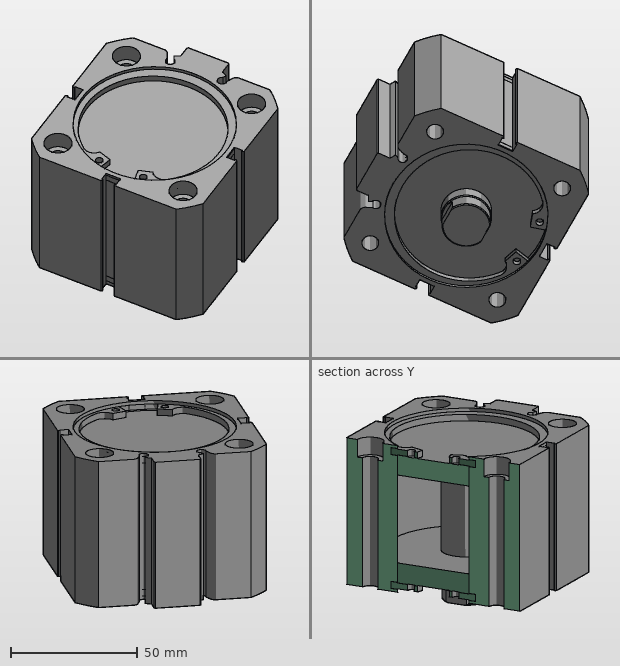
import cadquery as cq
import math


housing_half = 38.8
housing_height = 61.0
corner_start = 30.9
corner_radius = math.hypot(housing_half, corner_start)
bore_radius = 32.4

slot_floor = 34.2
slot_half = 3.2
lip_half = 2.65
lip_depth = 1.0
lip_chamfer = 0.4

rail_half = 9.5
rail_top = 44.2
rail_edge_chamfer = 0.4
channel_x = 11.7
channel_y = 34.2
channel_radius = 1.9
flank_tip = (11.8, 37.4)
flank_foot = (11.0, 35.9)
wall_foot = (13.5, 34.5)
wall_top = (14.5, 36.9)
mouth_middle = (15.3, 38.1)
mouth_end = (16.7, housing_half)

mount_spacing = 56.5
mount_radius = 3.3
counterbore_radius = 5.6
counterbore_depth = 7.3

ring_offset = 1.4
ring_thickness = 2.65
ring_radius = 33.95
ring_inner_radius = 29.7
ring_inner_shift = 1.4
lug_hole_radius = 1.5
lug_hole = (10.0, -27.6)
lug_inner_corner = (6.3, -25.3)
lug_outer_corner = (12.0, -23.4)
neck_middle = (15.1, -25.5)
neck_x = 18.5
neck_y = -ring_inner_shift - math.sqrt(ring_inner_radius**2 - neck_x**2)
bottom_ring_z = ring_offset
top_ring_z = housing_height - ring_offset - ring_thickness

cover_thickness = 8.3
head_cover_z = top_ring_z - cover_thickness
rod_cover_z = bottom_ring_z + ring_thickness

rod_radius = 10.05
rod_length_outside = 8.0
shoulder_z = -1.25
nose_radius = 9.6
nose_chamfer = 0.4
flat_half = 8.5
flat_start_z = -2.9


def mirrored(points):
    """The same points on the -X side."""
    return [(-x, y) for x, y in points]


def turned_block():
    """Square block with its corners turned to a cylinder about the bore axis."""
    block = cq.Workplane("XY").rect(2 * housing_half, 2 * housing_half).extrude(housing_height)
    turned = cq.Workplane("XY").circle(corner_radius).extrude(housing_height)
    return block.intersect(turned)


def rail():
    """Rail that stands out from the +Y side."""
    rail_height = rail_top - channel_y
    return (
        cq.Workplane("XY")
        .center(0, channel_y + rail_height / 2)
        .rect(2 * rail_half, rail_height)
        .extrude(housing_height)
        .faces(">Y")
        .edges("|Z")
        .chamfer(rail_edge_chamfer)
    )


def rail_channel(side):
    """Undercut channel beside the rail, on the +X side (side = 1) or the -X side (side = -1)."""

    def at(point):
        return (side * point[0], point[1])

    mouth = (
        cq.Workplane("XY")
        .moveTo(side * channel_x, channel_y)
        .lineTo(*at(flank_foot))
        .lineTo(*at(flank_tip))
        .lineTo(side * rail_half, housing_half)
        .lineTo(*at(mouth_end))
        .threePointArc(at(mouth_middle), at(wall_top))
        .lineTo(*at(wall_foot))
        .close()
        .extrude(housing_height)
    )
    bottom = (
        cq.Workplane("XY")
        .center(side * channel_x, channel_y)
        .circle(channel_radius)
        .extrude(housing_height)
    )
    return mouth.union(bottom)


def sensor_slot(angle):
    """Slot with chamfered lips in the -Y side, turned by an angle about the bore axis."""
    half_outline = [
        (lip_half + lip_chamfer, -housing_half),
        (lip_half, -housing_half + lip_chamfer),
        (lip_half, -housing_half + lip_depth),
        (slot_half, -housing_half + lip_depth),
        (slot_half, -slot_floor),
    ]
    outline = half_outline + mirrored(half_outline)[::-1]
    slot = cq.Workplane("XY").polyline(outline).close().extrude(housing_height)
    return slot.rotate((0, 0, 0), (0, 0, 1), angle)


def ring_groove(z):
    return cq.Workplane("XY").workplane(offset=z).circle(ring_radius).extrude(ring_thickness)


def make_housing():
    body = turned_block()
    for side in (1, -1):
        body = body.cut(rail_channel(side))
    body = body.union(rail())
    for angle in (0, 90, -90):
        body = body.cut(sensor_slot(angle))
    body = body.cut(cq.Workplane("XY").circle(bore_radius).extrude(housing_height))
    for z in (bottom_ring_z, top_ring_z):
        body = body.cut(ring_groove(z))
    return (
        body.faces(">Z")
        .workplane(origin=(0, 0, housing_height))
        .rect(mount_spacing, mount_spacing, forConstruction=True)
        .vertices()
        .cboreHole(2 * mount_radius, 2 * counterbore_radius, counterbore_depth)
    )


def make_retaining_ring(z):
    """Snap ring with its gap towards -Y and a drilled lug on each side of the gap."""
    corner_x, corner_y = lug_inner_corner
    gap_scale = ring_radius / math.hypot(corner_x, corner_y)
    gap_x = corner_x * gap_scale
    gap_y = corner_y * gap_scale
    return (
        cq.Workplane("XY")
        .workplane(offset=z)
        .moveTo(gap_x, gap_y)
        .threePointArc((0, ring_radius), (-gap_x, gap_y))
        .lineTo(-corner_x, corner_y)
        .lineTo(-lug_outer_corner[0], lug_outer_corner[1])
        .threePointArc((-neck_middle[0], neck_middle[1]), (-neck_x, neck_y))
        .threePointArc((0, ring_inner_radius - ring_inner_shift), (neck_x, neck_y))
        .threePointArc(neck_middle, lug_outer_corner)
        .lineTo(corner_x, corner_y)
        .close()
        .pushPoints([lug_hole] + mirrored([lug_hole]))
        .circle(lug_hole_radius)
        .extrude(ring_thickness)
    )


def make_head_cover():
    """Plain disc that closes the top of the bore."""
    return cq.Workplane("XY").workplane(offset=head_cover_z).circle(bore_radius).extrude(cover_thickness)


def make_rod_cover():
    """Disc that closes the bottom of the bore and guides the rod."""
    return (
        cq.Workplane("XY")
        .workplane(offset=rod_cover_z)
        .circle(bore_radius)
        .circle(rod_radius)
        .extrude(cover_thickness)
    )


def wrench_flat(side):
    """Material removed by one wrench flat, whose upper end slopes out at 45 degrees."""
    slope = rod_radius - flat_half
    outline = [
        (side * flat_half, -rod_length_outside),
        (side * flat_half, flat_start_z),
        (side * rod_radius, flat_start_z + slope),
        (side * rod_radius, -rod_length_outside),
    ]
    return cq.Workplane("YZ").polyline(outline).close().extrude(rod_radius, both=True)


def make_rod():
    """Rod from the head cover down through the rod cover to its wrench end."""
    shoulder_drop = rod_radius - nose_radius
    half_section = [
        (0, head_cover_z),
        (rod_radius, head_cover_z),
        (rod_radius, shoulder_z),
        (nose_radius, shoulder_z - shoulder_drop),
        (nose_radius, -rod_length_outside + nose_chamfer),
        (nose_radius - nose_chamfer, -rod_length_outside),
        (0, -rod_length_outside),
    ]
    rod = cq.Workplane("XZ").polyline(half_section).close().revolve(360, (0, 0), (0, 1))
    for side in (1, -1):
        rod = rod.cut(wrench_flat(side))
    return rod


housing = make_housing()
retaining_rings = [make_retaining_ring(z) for z in (bottom_ring_z, top_ring_z)]
head_cover = make_head_cover()
rod_cover = make_rod_cover()
rod = make_rod()

result = cq.Compound.makeCompound(
    [
        housing.val(),
        *[ring.val() for ring in retaining_rings],
        head_cover.val(),
        rod_cover.val(),
        rod.val(),
    ]
)